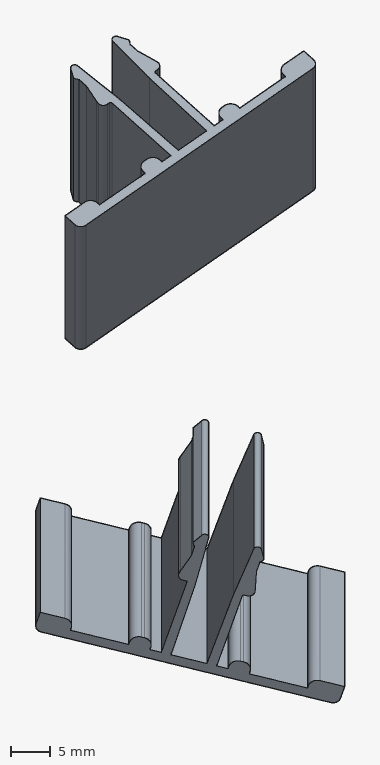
import cadquery as cq
import math

depth = 20.35
width = 40.0
height = 25.0

plate_thickness = 1.3
rib_depth = 2.9
rim_width = 4.45
rib_width = 2.8
rib_offset = 6.5
round_radius = 1.2
back_corner_radius = 1.0

leg_outer_y = 3.65
leg_root_inner_y = 2.35
bend_x = 8.0
bend_inner_y = 2.5
tip_inner_x = 0.35
tip_inner_y = 2.95
tip_y = 3.45
tip_outer_x = 0.35
tip_outer_y = 3.95
crest_x = 1.65
crest_y = 4.65
crest_fall_x = 2.0
crest_fall_y = 4.5
valley_x = 2.25
valley_end_x = 3.7
valley_y = 4.3
barb_slope_end_x = 6.3
barb_slope_end_y = 4.9
barb_y = 5.0
barb_back_x = 7.6
barb_radius = 0.8
barb_foot_radius = 0.25

plate_front_x = depth - plate_thickness
rib_front_x = depth - rib_depth


def block(x_start, x_end, y_start, y_end):
    """Full-height block between two X and two Y positions."""
    return (
        cq.Workplane("XY")
        .moveTo(x_start, y_start)
        .lineTo(x_end, y_start)
        .lineTo(x_end, y_end)
        .lineTo(x_start, y_end)
        .close()
        .extrude(height)
    )


def make_plate():
    plate = block(plate_front_x, depth, -width / 2, width / 2)
    return plate.edges("|Z and >X").fillet(back_corner_radius)


def make_rim():
    """Thick rim at the +Y end, rounded at its inner front and outer back corners."""
    rim = block(rib_front_x, depth, width / 2 - rim_width, width / 2)
    rim = rim.edges("|Z and <X and <Y").fillet(round_radius)
    return rim.edges("|Z and >X and >Y").fillet(back_corner_radius)


def make_rib():
    rib = block(rib_front_x, depth, rib_offset - rib_width / 2, rib_offset + rib_width / 2)
    return rib.edges("|Z and <X").fillet(round_radius)


def make_leg():
    """Snap leg on the +Y side, with a rounded tip, a pointed crest and a barb."""
    barb_nose_x = barb_back_x - barb_radius
    barb_nose_y = barb_y - barb_radius
    diagonal = barb_radius * math.sqrt(0.5)

    leg = (
        cq.Workplane("XY")
        .moveTo(depth - plate_thickness / 2, leg_root_inner_y)
        .lineTo(plate_front_x, leg_root_inner_y)
        .lineTo(bend_x, bend_inner_y)
        .lineTo(tip_inner_x, tip_inner_y)
        .threePointArc((0, tip_y), (tip_outer_x, tip_outer_y))
        .lineTo(crest_x, crest_y)
        .threePointArc((crest_fall_x, crest_fall_y), (valley_x, valley_y))
        .lineTo(valley_end_x, valley_y)
        .lineTo(barb_slope_end_x, barb_slope_end_y)
        .tangentArcPoint((barb_nose_x, barb_y), relative=False)
        .threePointArc(
            (barb_nose_x + diagonal, barb_nose_y + diagonal),
            (barb_back_x, barb_nose_y),
        )
        .lineTo(barb_back_x, leg_outer_y)
        .lineTo(depth - plate_thickness / 2, leg_outer_y)
        .close()
        .extrude(height)
    )
    foot = cq.selectors.NearestToPointSelector((barb_back_x, leg_outer_y, height / 2))
    return leg.edges("|Z").edges(foot).fillet(barb_foot_radius)


result = make_plate()
for feature in (make_rim(), make_rib(), make_leg()):
    result = result.union(feature).union(feature.mirror("XZ"))